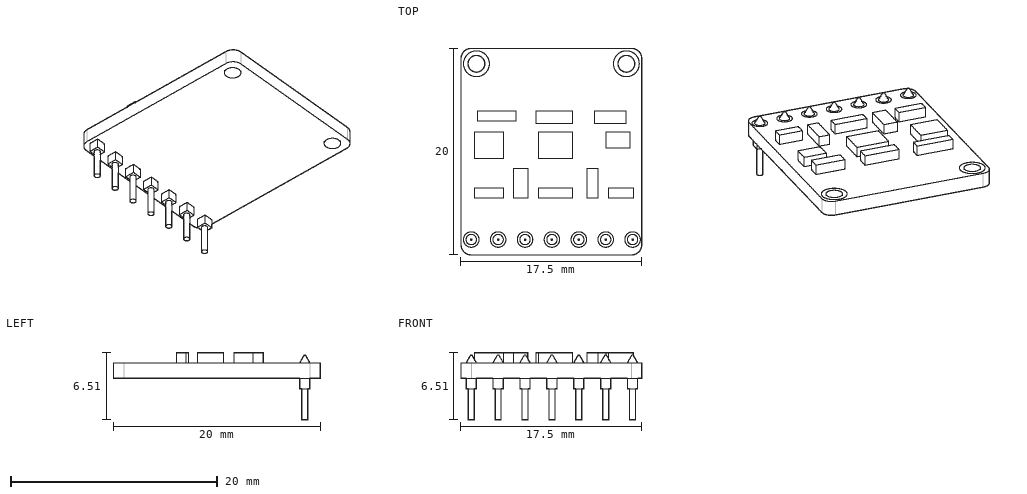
import cadquery as cq

board_width = 17.5
board_length = 20.0
board_thickness = 1.5
corner_radius = 1.0

pad_thickness = 0.01
mount_pad_diameter = 2.5
pin_pad_diameter = 1.5

mount_hole_diameter = 1.6
mount_hole_inset = 1.5
mount_hole_x = board_width / 2 - mount_hole_inset
mount_hole_y = board_length / 2 - mount_hole_inset
mount_hole_points = [(-mount_hole_x, mount_hole_y), (mount_hole_x, mount_hole_y)]

pin_count = 7
pin_pitch = 2.6
first_pin_inset = 1.0
pin_row_inset = 1.5
first_pin_x = first_pin_inset - board_width / 2
pin_row_y = pin_row_inset - board_length / 2
pin_points = [(first_pin_x + i * pin_pitch, pin_row_y) for i in range(pin_count)]
spacer_side = 1.0
spacer_height = 1.0
pin_diameter = 0.6
pin_length = 3.0

cone_base_diameter = 1.0
cone_tip_diameter = 0.15
cone_height = 0.75

component_height = 1.01
components = [
    (-7.15, 2.97, 3.75, 0.95),
    (-1.51, 2.74, 3.57, 1.17),
    (4.19, 2.74, 3.03, 1.17),
    (-7.45, -0.64, 2.8, 2.54),
    (-1.27, -0.64, 3.33, 2.54),
    (5.28, 0.35, 2.33, 1.55),
    (-7.45, -4.5, 2.8, 1.0),
    (-3.68, -4.5, 1.41, 2.85),
    (-1.27, -4.5, 3.33, 1.0),
    (3.42, -4.5, 1.1, 2.85),
    (5.5, -4.5, 2.42, 1.0),
]


def make_board():
    board = cq.Workplane("XY").box(
        board_width, board_length, board_thickness, centered=(True, True, False)
    )
    board = board.edges("|Z").fillet(corner_radius)
    return board.translate((0, 0, -board_thickness))


def make_pads(points, diameter):
    return cq.Workplane("XY").pushPoints(points).circle(diameter / 2).extrude(pad_thickness)


def make_mount_holes():
    holes = cq.Workplane("XY").workplane(offset=-board_thickness)
    holes = holes.pushPoints(mount_hole_points).circle(mount_hole_diameter / 2)
    return holes.extrude(board_thickness + pad_thickness)


def make_component(left, front, size_x, size_y):
    block = cq.Workplane("XY").box(size_x, size_y, component_height, centered=False)
    return block.translate((left, front, 0))


def make_header_pin(x, y):
    """Square spacer under the board with a round pin below it."""
    spacer = (
        cq.Workplane("XY")
        .workplane(offset=-board_thickness)
        .rect(spacer_side, spacer_side)
        .extrude(-spacer_height)
    )
    pin = spacer.faces("<Z").workplane().circle(pin_diameter / 2).extrude(pin_length)
    return pin.translate((x, y, 0))


def make_solder_cone(x, y):
    base_radius = cone_base_diameter / 2
    tip_radius = cone_tip_diameter / 2
    cone = (
        cq.Workplane("XZ")
        .polyline([(0, 0), (base_radius, 0), (tip_radius, cone_height), (0, cone_height)])
        .close()
        .revolve(360, (0, 0, 0), (0, 1, 0))
    )
    return cone.translate((x, y, pad_thickness))


result = make_board()
result = result.union(make_pads(mount_hole_points, mount_pad_diameter))
result = result.union(make_pads(pin_points, pin_pad_diameter))
result = result.cut(make_mount_holes())

for component in components:
    result = result.union(make_component(*component))

for pin_x, pin_y in pin_points:
    result = result.union(make_header_pin(pin_x, pin_y))
    result = result.union(make_solder_cone(pin_x, pin_y))